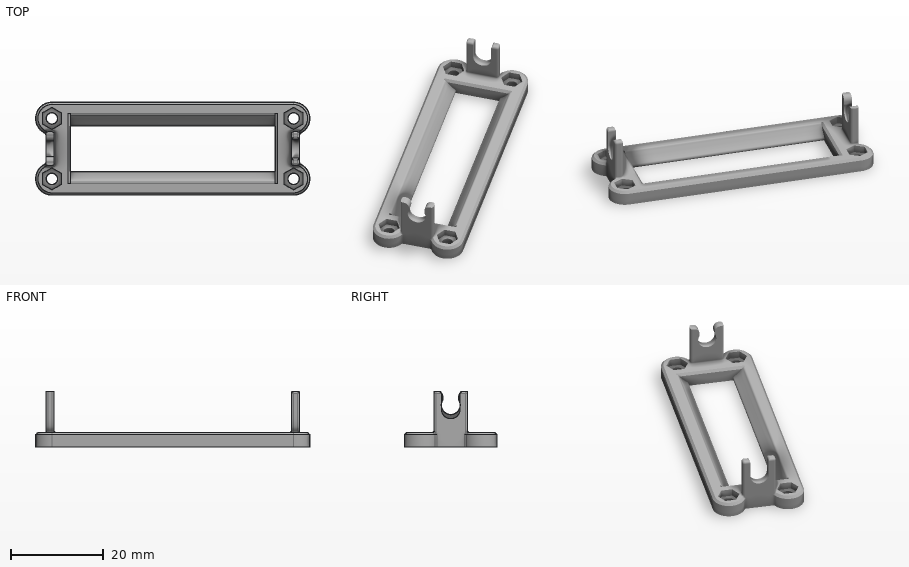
import cadquery as cq
import math

PLATE_HEIGHT = 3.15
LOBE_RADIUS = 3.5
SCREW_X = 26.0
SCREW_Y = 6.5
HALF_LENGTH = SCREW_X + LOBE_RADIUS
HALF_WIDTH = SCREW_Y + LOBE_RADIUS
PLATE_CHAMFER = 0.5

NOTCH_X = 27.3
NOTCH_FILLET = 0.5

SCREW_DIAMETER = 2.4
NUT_ACROSS_FLATS = 4.1
NUT_DEPTH = 1.6

WINDOW_HALF_LENGTH = 22.0
WINDOW_CHAMFER = 0.5
DISH_RADIUS = 8.75
DISH_AXIS_Z = 8.03
DISH_EDGE_FILLET = 0.5

ROD_DIAMETER = 4.0
SNAP_SEAT_Z = 9.0
OPEN_SEAT_Z = 8.1
ARM_TOP = 12.0
ARM_THICKNESS = 1.8
ARM_WIDTH = 7.3
ARM_EDGE_FILLET = 0.5
PRONG_TIP_FILLET = 0.48
ARM_BASE_FILLET = 0.3
SNAP_NECK_WIDTH = 3.4
SNAP_MOUTH_FILLET = 1.2
SNAP_NECK_FILLET = 1.0

SELECT_SLACK = 0.02


def box_around(low, high):
    """Selector for edges whose centres lie in a box, with a little slack."""
    return cq.selectors.BoxSelector(
        [value - SELECT_SLACK for value in low], [value + SELECT_SLACK for value in high]
    )


def screw_points():
    """Centres of the four lobes."""
    return [(sx * SCREW_X, sy * SCREW_Y) for sx in (-1, 1) for sy in (-1, 1)]


def make_plate():
    """Chamfered plate whose ends are notched between two round lobes."""
    full_width = cq.Workplane("XY").rect(2 * SCREW_X, 2 * HALF_WIDTH).extrude(PLATE_HEIGHT)
    between_notches = cq.Workplane("XY").rect(2 * NOTCH_X, 2 * SCREW_Y).extrude(PLATE_HEIGHT)
    lobes = cq.Workplane("XY").pushPoints(screw_points()).circle(LOBE_RADIUS).extrude(PLATE_HEIGHT)
    plate = full_width.union(between_notches).union(lobes)
    corner_y = SCREW_Y - math.sqrt(LOBE_RADIUS**2 - (NOTCH_X - SCREW_X) ** 2)
    notch_corners = box_around((-NOTCH_X, -corner_y, 0), (NOTCH_X, corner_y, PLATE_HEIGHT))
    plate = plate.edges("|Z").edges(notch_corners).fillet(NOTCH_FILLET)
    return plate.faces(">Z").edges().chamfer(PLATE_CHAMFER)


def cut_window(plate):
    """Window with flat short sides and long sides dished about an axis along X."""
    dish = (
        cq.Workplane("YZ")
        .center(0, DISH_AXIS_Z)
        .circle(DISH_RADIUS)
        .extrude(WINDOW_HALF_LENGTH, both=True)
    )
    framed = plate.cut(dish)
    inside_plate = SCREW_Y + LOBE_RADIUS / 2
    long_edges = box_around((0, -inside_plate, 0), (0, inside_plate, PLATE_HEIGHT))
    framed = framed.edges("|X").edges(long_edges).fillet(DISH_EDGE_FILLET)
    for side in (-1, 1):
        framed = framed.cut(make_end_chamfer(side))
    return framed


def make_end_chamfer(side):
    """Cutter for the sloping top edge of a short window side."""
    edge_centre_drop = DISH_AXIS_Z - PLATE_HEIGHT + DISH_EDGE_FILLET
    half_span = math.sqrt((DISH_RADIUS + DISH_EDGE_FILLET) ** 2 - edge_centre_drop**2)
    inner_x = side * WINDOW_HALF_LENGTH
    outer_x = side * (WINDOW_HALF_LENGTH + WINDOW_CHAMFER)
    return (
        cq.Workplane("XZ")
        .moveTo(inner_x, PLATE_HEIGHT - WINDOW_CHAMFER)
        .lineTo(outer_x, PLATE_HEIGHT)
        .lineTo(inner_x, PLATE_HEIGHT)
        .close()
        .extrude(half_span, both=True)
    )


def cut_screw_holes(body):
    """Through holes with hexagonal nut pockets, points along Y, in the four lobes."""
    across_points = NUT_ACROSS_FLATS / math.cos(math.pi / 6)
    nut = cq.Workplane("XY").polygon(6, across_points).extrude(NUT_DEPTH).rotate((0, 0, 0), (0, 0, 1), 90)
    hole = cq.Workplane("XY").circle(SCREW_DIAMETER / 2).extrude(PLATE_HEIGHT)
    cutter = hole.union(nut.translate((0, 0, PLATE_HEIGHT - NUT_DEPTH)))
    for x, y in screw_points():
        body = body.cut(cutter.translate((x, y, 0)))
    return body


def make_arm(side):
    """Upright arm with rounded corners, from the bottom of the plate."""
    return (
        cq.Workplane("XY")
        .center(side * (NOTCH_X - ARM_THICKNESS / 2), 0)
        .rect(ARM_THICKNESS, ARM_WIDTH)
        .extrude(ARM_TOP)
        .edges("|Z")
        .fillet(ARM_EDGE_FILLET)
    )


def make_slot(side, width, seat_z):
    """Round seat with a mouth of the given width, open at the top of an arm."""
    low_face = min(side * NOTCH_X, side * (NOTCH_X - ARM_THICKNESS))
    plane = cq.Workplane("YZ", origin=(low_face, 0, seat_z))
    seat = plane.circle(ROD_DIAMETER / 2).extrude(ARM_THICKNESS)
    mouth_height = ARM_TOP - seat_z
    mouth = plane.center(0, mouth_height / 2).rect(width, mouth_height).extrude(ARM_THICKNESS)
    return seat.union(mouth)


def make_snap_arm():
    """Left arm: its mouth narrows to a neck that holds the rod."""
    arm = make_arm(-1).cut(make_slot(-1, SNAP_NECK_WIDTH, SNAP_SEAT_Z))
    half_neck = SNAP_NECK_WIDTH / 2
    neck_z = SNAP_SEAT_Z + math.sqrt((ROD_DIAMETER / 2) ** 2 - half_neck**2)
    for corner_z, radius in ((neck_z, SNAP_NECK_FILLET), (ARM_TOP, SNAP_MOUTH_FILLET)):
        corners = box_around((-NOTCH_X, -half_neck, corner_z), (0, half_neck, corner_z))
        arm = arm.edges("|X").edges(corners).fillet(radius)
    return arm


def make_open_arm():
    """Right arm: a plain U-shaped slot and rounded prong tips."""
    arm = make_arm(1).cut(make_slot(1, ROD_DIAMETER, OPEN_SEAT_Z))
    return arm.faces(">Z").edges().fillet(PRONG_TIP_FILLET)


def fillet_arm_bases(body):
    """Round the inside corner between the arms and the top of the plate."""
    inner_x = NOTCH_X - ARM_THICKNESS
    half_width = ARM_WIDTH / 2
    lowest = PLATE_HEIGHT - PLATE_CHAMFER / 2
    for near_x, far_x in ((-NOTCH_X, -inner_x), (inner_x, NOTCH_X)):
        footprint = box_around((near_x, -half_width, lowest), (far_x, half_width, PLATE_HEIGHT))
        body = body.edges(footprint).fillet(ARM_BASE_FILLET)
    return body


frame = cut_window(make_plate())
frame = frame.union(make_snap_arm()).union(make_open_arm())
frame = fillet_arm_bases(frame)
result = cut_screw_holes(frame)